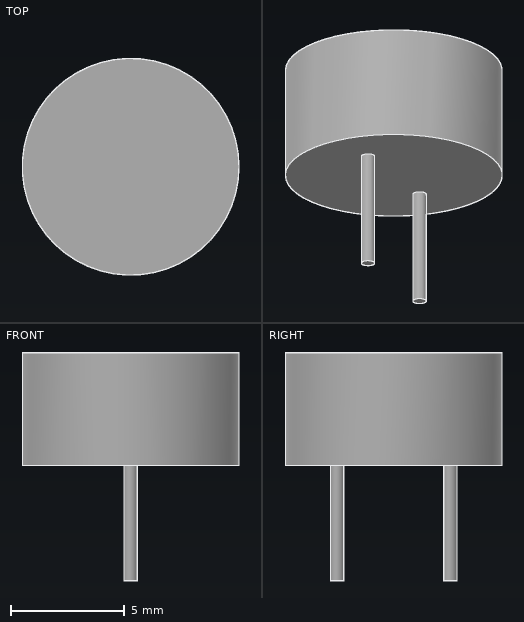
import cadquery as cq

total_height = 10.1
housing_diameter = 9.6
housing_height = 5.0

pin_diameter = 0.6
pin_spacing = 5.0
pin_length = total_height - housing_height


def make_housing():
    """Plain cylinder standing on the plane Z = 0."""
    return cq.Workplane("XY").circle(housing_diameter / 2).extrude(housing_height)


def make_pin(y_position):
    """Straight round pin hanging from the underside of the housing."""
    return cq.Workplane("XY").center(0, y_position).circle(pin_diameter / 2).extrude(-pin_length)


housing = make_housing()
pins = [make_pin(side * pin_spacing / 2) for side in (-1, 1)]

result = cq.Compound.makeCompound([housing.val(), *[pin.val() for pin in pins]])